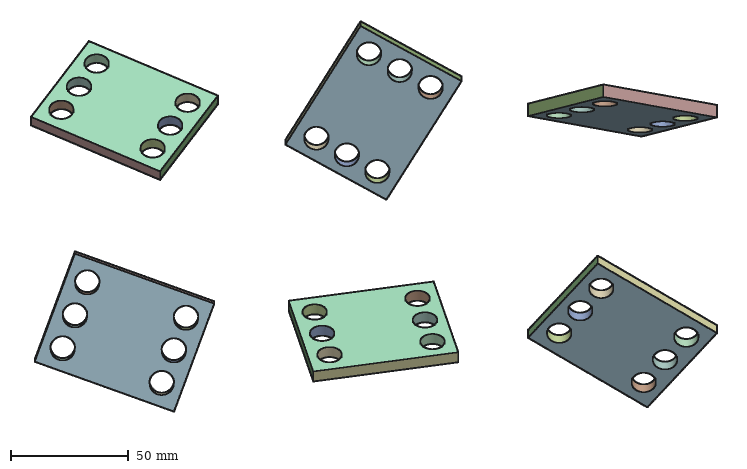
import cadquery as cq

length = 63.0
width = 49.75
thickness = 5.5

hole_diameter = 10.4
holes_per_column = 3
column_offset = 22.3
front_row_y = -15.0
left_pitch = 15.2
right_pitch = 15.0


def column_points(x, pitch):
    """Hole centres of one column, from the front row towards +Y."""
    return [(x, front_row_y + row * pitch) for row in range(holes_per_column)]


hole_centres = column_points(-column_offset, left_pitch) + column_points(column_offset, right_pitch)

plate = cq.Workplane("XY").box(length, width, thickness)
result = plate.faces(">Z").workplane().pushPoints(hole_centres).hole(hole_diameter)